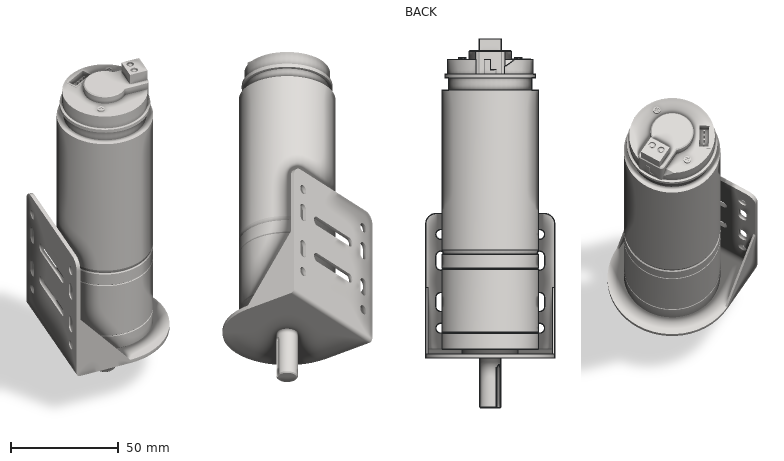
import cadquery as cq

bracket_width = 60.0
bracket_height = 67.2
plate_thickness = 1.9
gusset_thickness = 1.0
plate_front_y = -27.0
foot_radius = bracket_width / 2
gusset_height = 32.8
bend_outer_radius = 1.9
bend_inner_radius = 2.2
plate_corner_radius = 5.0
hole_diameter = 4.5
hole_x = 23.0
hole_rows_mid_z = 35.7
round_hole_offset = 21.8
slot_offset = 9.6
short_slot_length = 8.7
long_slot_length = 29.3

body_radius = 22.5
shaft_radius = 5.0
shaft_tip_z = -23.2
shaft_tip_chamfer = 0.5
boss_radius = 13.0
gearbox_bottom_z = 4.0
front_joint_z = 11.8
rear_joint_z = 41.5
gearbox_top_z = 48.4
joint_chamfer = 0.3
keyway_width = 3.6
keyway_floor = 4.1
keyway_top_z = -3.1
keyway_angle = 150.0

motor_top_z = 124.5
motor_edge_inset = 0.7
motor_edge_height = 1.9
neck_radius = 19.4
flange_bottom_z = 130.2
flange_radius = 21.1
flange_top_z = 131.9
cap_radius = 19.9
cap_top_z = 138.7
hub_radius = 10.0
hub_top_z = 142.9
hub_edge_chamfer = 0.5
arm_width = 13.7
arm_end_y = 19.7
arm_corner_radius = 1.7
slope_start_y = 16.5
slope_run = 3.6
slope_drop = 5.1

terminal_width = 10.3
terminal_back_y = 19.4
terminal_depth = 9.0
terminal_top_z = 148.3
terminal_screw_x = 2.4
terminal_screw_y = 13.7
terminal_recess_radius = 1.7
terminal_recess_depth = 1.0
terminal_screw_radius = 0.9
terminal_screw_height = 0.7

screw_circle_radius = 15.0
screw_radius = 1.7
screw_height = 0.9
cross_length = 2.4
cross_width = 0.7
cross_depth = 0.5

connector_angle = 210.0
connector_radial_start = 11.8
connector_depth = 6.2
connector_length = 12.7
connector_wall = 0.9
connector_rim_height = 0.2
connector_pocket_depth = 3.5
pin_count = 4
pin_pitch = 2.4
pin_size = 0.7
pin_height = 2.4


def cylinder(radius, bottom_z, top_z):
    return cq.Workplane("XY").workplane(offset=bottom_z).circle(radius).extrude(top_z - bottom_z)


def block(x_range, y_range, z_range):
    spans = [high - low for low, high in (x_range, y_range, z_range)]
    corner = (x_range[0], y_range[0], z_range[0])
    return cq.Workplane("XY").box(*spans, centered=False).translate(corner)


def turn(shape, angle):
    """Turn a shape about the motor axis."""
    return shape.rotate((0, 0, 0), (0, 0, 1), angle)


def bracket_foot():
    """Flat foot with a half-round end behind the motor axis."""
    half = bracket_width / 2
    straight = block((-half, half), (plate_front_y, 0), (0, plate_thickness))
    return straight.union(cylinder(foot_radius, 0, plate_thickness))


def bracket_plate():
    half = bracket_width / 2
    plate = block((-half, half), (plate_front_y, plate_front_y + plate_thickness), (0, bracket_height))
    return plate.edges("|Y and >Z").fillet(plate_corner_radius)


def bracket_gusset(side):
    """Triangular side wall on the side given by the sign of X."""
    outline = [
        (plate_front_y, 0),
        (0, 0),
        (0, plate_thickness),
        (plate_front_y + plate_thickness, gusset_height),
        (plate_front_y, gusset_height),
    ]
    outer_x = side * bracket_width / 2
    wall = cq.Workplane("YZ").workplane(offset=outer_x).polyline(outline).close()
    return wall.extrude(-side * gusset_thickness)


def bend_fillet():
    """Concave fillet along the inside of the bend."""
    inner_y = plate_front_y + plate_thickness
    half = bracket_width / 2
    strip = block(
        (-half, half),
        (inner_y, inner_y + bend_inner_radius),
        (plate_thickness, plate_thickness + bend_inner_radius),
    )
    hollow = (
        cq.Workplane("YZ")
        .workplane(offset=-half)
        .center(inner_y + bend_inner_radius, plate_thickness + bend_inner_radius)
        .circle(bend_inner_radius)
        .extrude(bracket_width)
    )
    return strip.cut(hollow)


def rounded_envelope():
    """Block around the whole bracket, rounded where the outside of the bend lies."""
    half = bracket_width / 2
    envelope = block((-half, half), (plate_front_y, foot_radius), (0, bracket_height))
    return envelope.edges("|X and <Y and <Z").fillet(bend_outer_radius)


def plate_cutters():
    """Round holes and slots through the upright plate."""
    round_holes = []
    short_slots = []
    long_slots = []
    for direction in (-1, 1):
        slot_z = hole_rows_mid_z + direction * slot_offset
        long_slots.append((0, slot_z))
        for side in (-1, 1):
            round_holes.append((side * hole_x, hole_rows_mid_z + direction * round_hole_offset))
            short_slots.append((side * hole_x, slot_z))
    face = cq.Workplane("XZ", origin=(0, plate_front_y + plate_thickness, 0))
    holes = face.pushPoints(round_holes).circle(hole_diameter / 2).extrude(plate_thickness)
    upright = face.pushPoints(short_slots).slot2D(short_slot_length, hole_diameter, 90).extrude(plate_thickness)
    level = face.pushPoints(long_slots).slot2D(long_slot_length, hole_diameter).extrude(plate_thickness)
    return holes.union(upright).union(level)


def make_bracket():
    body = bracket_foot().union(bracket_plate()).union(bend_fillet())
    for side in (-1, 1):
        body = body.union(bracket_gusset(side))
    body = body.intersect(rounded_envelope())
    body = body.cut(plate_cutters())
    return body.cut(cylinder(shaft_radius, 0, plate_thickness))


def gearbox_section(bottom_z, top_z):
    return cylinder(body_radius, bottom_z, top_z).edges().chamfer(joint_chamfer)


def keyway_cutter():
    """Keyway open at the shaft tip and rounded at its upper end."""
    half = keyway_width / 2
    cutter = (
        cq.Workplane("YZ")
        .workplane(offset=keyway_floor)
        .moveTo(-half, shaft_tip_z)
        .lineTo(-half, keyway_top_z - half)
        .threePointArc((0, keyway_top_z), (half, keyway_top_z - half))
        .lineTo(half, shaft_tip_z)
        .close()
        .extrude(shaft_radius - keyway_floor)
    )
    return turn(cutter, keyway_angle)


def make_gearbox():
    body = cylinder(boss_radius, plate_thickness, gearbox_bottom_z)
    section_ends = [gearbox_bottom_z, front_joint_z, rear_joint_z, gearbox_top_z]
    for bottom_z, top_z in zip(section_ends, section_ends[1:]):
        body = body.union(gearbox_section(bottom_z, top_z))
    shaft = cylinder(shaft_radius, shaft_tip_z, gearbox_bottom_z)
    shaft = shaft.faces("<Z").chamfer(shaft_tip_chamfer)
    return body.union(shaft.cut(keyway_cutter()))


def motor_can():
    can = cylinder(body_radius, gearbox_top_z, motor_top_z)
    return can.faces("<Z").edges().chamfer(motor_edge_height, motor_edge_inset)


def sloped_cap_corner():
    """Wedge that bevels the cap rim on the -X side of the arm."""
    outline = [
        (slope_start_y, cap_top_z),
        (slope_start_y + slope_run, cap_top_z),
        (slope_start_y + slope_run, cap_top_z - slope_drop),
    ]
    return cq.Workplane("YZ").polyline(outline).close().extrude(-cap_radius)


def encoder_cap():
    neck = cylinder(neck_radius, motor_top_z, flange_bottom_z)
    flange = cylinder(flange_radius, flange_bottom_z, flange_top_z)
    cap = cylinder(cap_radius, flange_top_z, cap_top_z).cut(sloped_cap_corner())
    return neck.union(flange).union(cap)


def hub_and_arm():
    """Round hub whose arm runs to the cap rim and down to the flange."""
    half = arm_width / 2
    arm = block((-half, half), (0, arm_end_y), (flange_top_z, hub_top_z))
    arm = arm.edges("|Z and >Y").fillet(arm_corner_radius)
    hub = cylinder(hub_radius, flange_top_z, hub_top_z)
    return hub.union(arm).faces(">Z").chamfer(hub_edge_chamfer)


def terminal_block():
    """Two-way terminal block with a sunken screw per wire."""
    half = terminal_width / 2
    body = block(
        (-half, half),
        (terminal_back_y - terminal_depth, terminal_back_y),
        (hub_top_z, terminal_top_z),
    )
    floor_z = terminal_top_z - terminal_recess_depth
    for side in (-1, 1):
        place = (side * terminal_screw_x, terminal_screw_y, 0)
        recess = cylinder(terminal_recess_radius, floor_z, terminal_top_z)
        screw = cylinder(terminal_screw_radius, floor_z, floor_z + terminal_screw_height)
        body = body.cut(recess.translate(place)).union(screw.translate(place))
    return body


def cap_screw():
    """Cross-head screw lying on the cap along +X."""
    top_z = cap_top_z + screw_height
    cross = (
        cq.Workplane("XY")
        .workplane(offset=top_z - cross_depth)
        .rect(cross_length, cross_width)
        .extrude(cross_depth)
    )
    cross = cross.union(turn(cross, 90))
    head = cylinder(screw_radius, cap_top_z, top_z).cut(cross)
    return head.translate((screw_circle_radius, 0, 0))


def connector_block(inset, bottom_z, top_z):
    """Rectangular block along +X, drawn in by the inset on all four sides."""
    half = connector_length / 2 - inset
    radial_end = connector_radial_start + connector_depth
    return block(
        (connector_radial_start + inset, radial_end - inset),
        (-half, half),
        (bottom_z, top_z),
    )


def connector_pins():
    floor_z = cap_top_z - connector_pocket_depth
    middle = connector_radial_start + connector_depth / 2
    return (
        cq.Workplane("XY", origin=(middle, 0, floor_z))
        .rarray(1.7, pin_pitch, 1, pin_count)
        .rect(pin_size, pin_size)
        .extrude(pin_height)
    )


def add_connector(body):
    rim_z = cap_top_z + connector_rim_height
    rim = connector_block(0, cap_top_z, rim_z)
    pocket = connector_block(connector_wall, cap_top_z - connector_pocket_depth, rim_z)
    body = body.union(turn(rim, connector_angle))
    body = body.cut(turn(pocket, connector_angle))
    return body.union(turn(connector_pins(), connector_angle))


def make_motor():
    body = motor_can().union(encoder_cap()).union(hub_and_arm()).union(terminal_block())
    for half_turn in (0, 180):
        body = body.union(turn(cap_screw(), keyway_angle + half_turn))
    return add_connector(body)


bracket = make_bracket()
gearbox = make_gearbox()
motor = make_motor()

result = cq.Compound.makeCompound([bracket.val(), gearbox.val(), motor.val()])